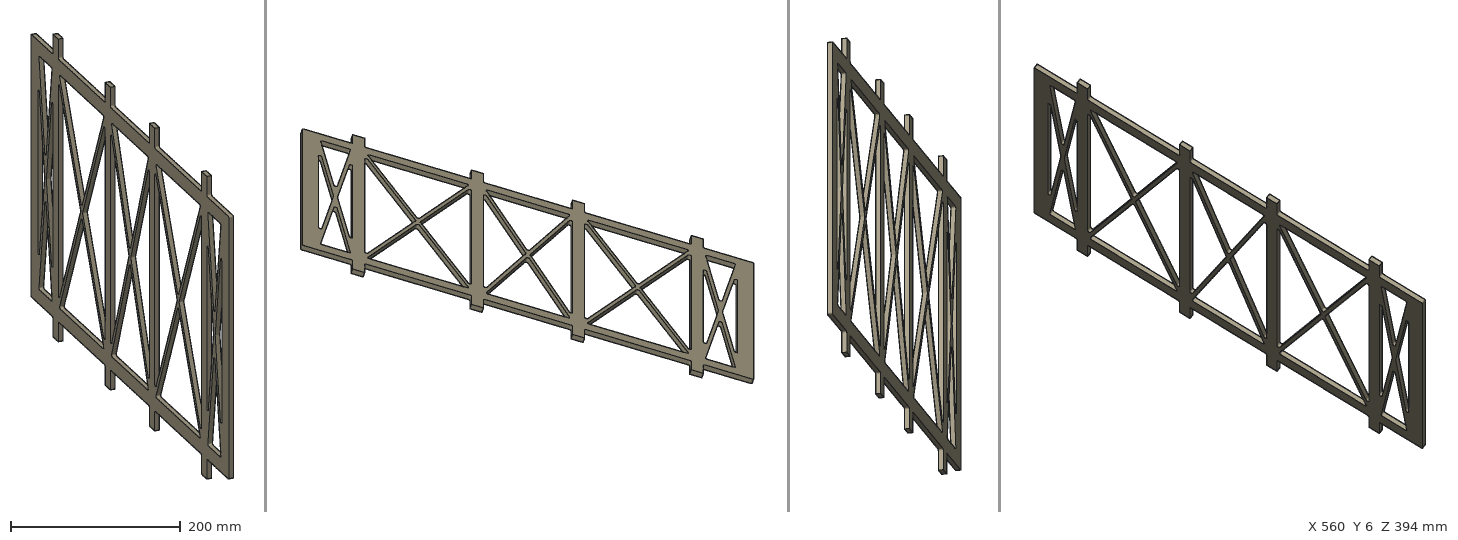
import cadquery as cq
import math

length = 560.0
height = 394.0
thickness = 6.0

frame_height = 342.0
rail_width = 19.0
end_bar_width = 20.0
upright_width = 15.0
inner_upright_x = 63.0
outer_upright_x = 210.0

brace_width = 5.0
corner_radius = 2.0

window_top = frame_height / 2 - rail_width


def cut_window(plate, points):
    """Cut a closed window through the plate, with all its corners rounded."""
    cutter = (
        cq.Workplane("XZ")
        .polyline(points)
        .close()
        .extrude(thickness / 2, both=True)
        .edges("|Y")
        .fillet(corner_radius)
    )
    return plate.cut(cutter)


def cut_braced_panel(plate, left, right):
    """Cut four triangles that leave an X of braces running corner to corner."""
    centre = (left + right) / 2
    half_width = (right - left) / 2
    diagonal = math.hypot(half_width, window_top)
    offset_x = brace_width / 2 * diagonal / window_top
    offset_z = brace_width / 2 * diagonal / half_width
    for side in (-1, 1):
        plate = cut_window(plate, [
            (centre - half_width + offset_x, side * window_top),
            (centre + half_width - offset_x, side * window_top),
            (centre, side * offset_z),
        ])
        plate = cut_window(plate, [
            (centre + side * half_width, window_top - offset_z),
            (centre + side * half_width, offset_z - window_top),
            (centre + side * offset_x, 0),
        ])
    return plate


upright_centres = [-outer_upright_x, -inner_upright_x, inner_upright_x, outer_upright_x]
plate = cq.Workplane("XY").box(length, thickness, frame_height)
for x in upright_centres:
    upright = cq.Workplane("XY").box(upright_width, thickness, height)
    plate = plate.union(upright.translate((x, 0, 0)))

frame_edge_zone = cq.selectors.BoxSelector(
    (-length, -thickness, -frame_height / 2 - corner_radius),
    (length, thickness, frame_height / 2 + corner_radius),
)
plate = plate.edges("|Y").edges(frame_edge_zone).fillet(corner_radius)

half_upright = upright_width / 2
panel_lefts = [end_bar_width - length / 2] + [x + half_upright for x in upright_centres]
panel_rights = [x - half_upright for x in upright_centres] + [length / 2 - end_bar_width]
for left, right in zip(panel_lefts, panel_rights):
    plate = cut_braced_panel(plate, left, right)

result = plate